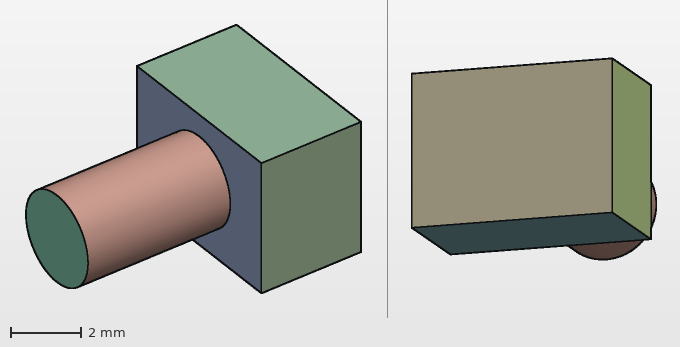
import cadquery as cq

total_length = 8.5
block_width = 6.0
block_length = 3.5
block_height = 4.5
pin_diameter = 3.0

pin_length = total_length - block_length

block = cq.Workplane("XY").box(
    block_width, block_length, block_height, centered=(True, False, True)
)

result = block.faces("<Y").workplane(centerOption="CenterOfMass").circle(pin_diameter / 2).extrude(pin_length)